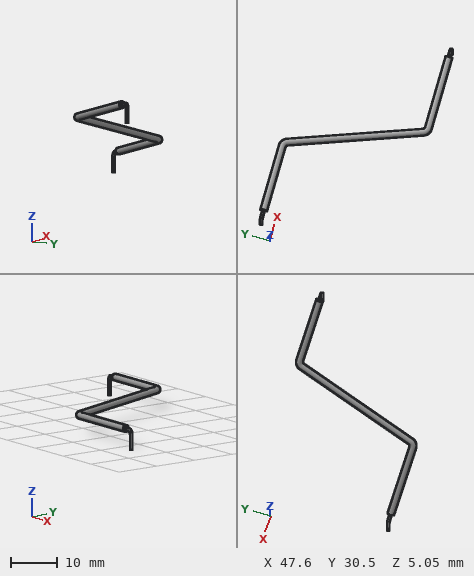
import cadquery as cq
import math

LENGTH = 47.55
WIDTH = 30.5
SLEEVE_DIAMETER = 1.5
WIRE_DIAMETER = 0.6
LEG_DEPTH = 4.3
WIRE_BEND_RADIUS = 1.0
SLEEVE_BEND_RADIUS = 1.25
BARE_LENGTH = 2.25
LEFT_BEND_START = 16.9
SLOPE_ANGLE = 70.0

leg_x = LENGTH / 2 - WIRE_DIAMETER / 2
run_y = (WIDTH - SLEEVE_DIAMETER) / 2
sleeve_end_x = LENGTH / 2 - BARE_LENGTH

slope = math.radians(SLOPE_ANGLE)
tangent_length = SLEEVE_BEND_RADIUS * math.tan(slope / 2)
bend_1_x = LEFT_BEND_START - LENGTH / 2
corner_1_x = bend_1_x + tangent_length
corner_2_x = corner_1_x + 2 * run_y / math.tan(slope)
bend_2_x = corner_2_x + tangent_length
slope_dx = tangent_length * math.cos(slope)
slope_dy = tangent_length * math.sin(slope)


def bent_sleeve():
    """Insulation: two parallel runs joined by a sloping run."""
    path = (
        cq.Workplane("XY")
        .moveTo(-sleeve_end_x, run_y)
        .lineTo(bend_1_x, run_y)
        .tangentArcPoint((corner_1_x + slope_dx, run_y - slope_dy), relative=False)
        .lineTo(corner_2_x - slope_dx, -run_y + slope_dy)
        .tangentArcPoint((bend_2_x, -run_y), relative=False)
        .lineTo(sleeve_end_x, -run_y)
    )
    section = cq.Workplane("YZ", origin=(-sleeve_end_x, run_y, 0)).circle(SLEEVE_DIAMETER / 2)
    return section.sweep(path)


def wire_leg(side, y):
    """Bare wire end, bent down; side is -1 for the left end and 1 for the right."""
    path = (
        cq.Workplane("XZ", origin=(0, y, 0))
        .moveTo(side * leg_x, -LEG_DEPTH)
        .lineTo(side * leg_x, -WIRE_BEND_RADIUS)
        .tangentArcPoint((side * (leg_x - WIRE_BEND_RADIUS), 0), relative=False)
        .lineTo(side * (sleeve_end_x - SLEEVE_DIAMETER), 0)
    )
    section = cq.Workplane("XY", origin=(side * leg_x, y, -LEG_DEPTH)).circle(WIRE_DIAMETER / 2)
    return section.sweep(path)


result = bent_sleeve().union(wire_leg(-1, run_y)).union(wire_leg(1, -run_y))